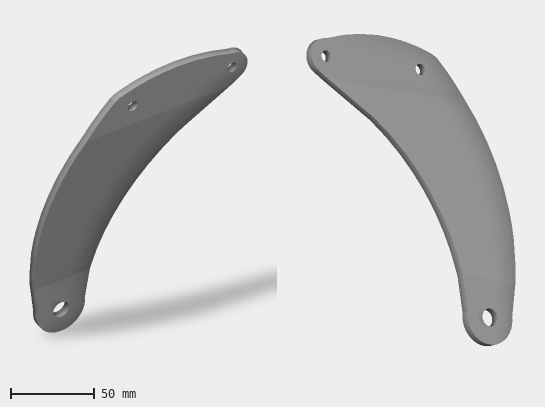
import cadquery as cq
import math

height = 182.7
width = 143.6
depth = 17.0
thickness = 5.3

lower_bend_z = 40.5
upper_bend_z = 151.9

lower_radius = 16.6
lower_centre = (19.7, lower_radius)
lower_joint_angle = 7
lower_hole_diameter = 11.0
tip_radius = 11.0
tip_centre = (width - tip_radius, 165.4)
second_hole = (62.9, tip_centre[1])
upper_hole_diameter = 7.0

front_bend_point = (0.7, lower_bend_z)
front_shoulder = (50.8, 174.0)
crown_front = (54.5, 176.0)
crown_top = (93.2, height)
inner_line_end = (98.9, 131.2)
inner_bend_point = (40.0, lower_bend_z)

front_arc_point = (23.5, 141.3)
inner_arc_point = (50.6, 72.2)


def on_circle(centre, radius, degrees):
    """Point on a circle, with the angle measured from +Y toward +Z."""
    angle = math.radians(degrees)
    return (centre[0] + radius * math.cos(angle), centre[1] + radius * math.sin(angle))


def tangent_point(point, centre, radius):
    """Point where a line from an outside point touches a circle, counterclockwise from that point."""
    dy = point[0] - centre[0]
    dz = point[1] - centre[1]
    opening = math.acos(radius / math.hypot(dy, dz))
    return on_circle(centre, radius, math.degrees(math.atan2(dz, dy) + opening))


def make_outline():
    """Curved arm outline, extruded along +X through the whole depth."""
    lower_front = on_circle(lower_centre, lower_radius, 180 - lower_joint_angle)
    lower_inner = on_circle(lower_centre, lower_radius, lower_joint_angle)
    tip_top = on_circle(tip_centre, tip_radius, 90)
    tip_bottom = tangent_point(inner_line_end, tip_centre, tip_radius)
    return (
        cq.Workplane("YZ")
        .moveTo(*lower_front)
        .lineTo(*front_bend_point)
        .threePointArc(front_arc_point, front_shoulder)
        .lineTo(*crown_front)
        .threePointArc(crown_top, tip_top)
        .threePointArc(on_circle(tip_centre, tip_radius, 0), tip_bottom)
        .lineTo(*inner_line_end)
        .threePointArc(inner_arc_point, inner_bend_point)
        .lineTo(*lower_inner)
        .threePointArc(on_circle(lower_centre, lower_radius, -90), lower_front)
        .close()
        .extrude(depth)
    )


def make_bent_sheet():
    """Sheet of constant thickness with two equal and opposite bends."""
    offset = depth - thickness
    bend_angle = math.atan2(offset, upper_bend_z - lower_bend_z)
    back_shift = thickness * math.tan(bend_angle / 2)
    profile = [
        (0, 0),
        (0, lower_bend_z),
        (offset, upper_bend_z),
        (offset, height),
        (depth, height),
        (depth, upper_bend_z - back_shift),
        (thickness, lower_bend_z - back_shift),
        (thickness, 0),
    ]
    return cq.Workplane("XZ").polyline(profile).close().extrude(-width)


def make_holes(centres, diameter):
    """Cylinders along X that cut through the sheet."""
    return cq.Workplane("YZ").pushPoints(centres).circle(diameter / 2).extrude(depth)


result = (
    make_outline()
    .intersect(make_bent_sheet())
    .cut(make_holes([lower_centre], lower_hole_diameter))
    .cut(make_holes([tip_centre, second_hole], upper_hole_diameter))
)